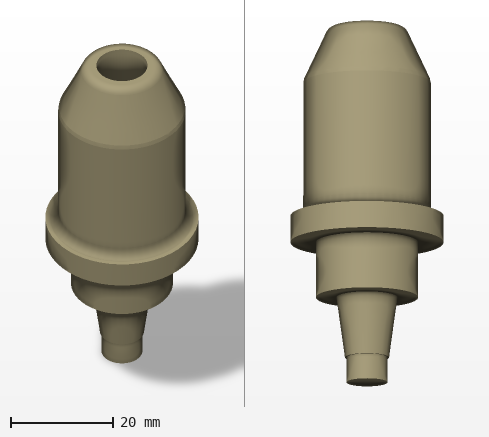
import cadquery as cq
import math

pin_top = 5.0
taper_top = 17.0
boss_top = 28.0
flange_top = 33.2
shoulder_height = 60.3
total_height = 71.0

pin_diameter = 8.0
taper_small_diameter = 8.65
taper_large_diameter = 12.0
boss_diameter = 20.0
flange_diameter = 30.0
body_diameter = 25.0
nose_diameter = 15.0
bore_diameter = 10.0
root_diameter = 28.0

bore_depth = 20.0
root_radius = 2.0
shoulder_fillet = 2.0
nose_fillet = 2.0


def arc_drop(offset):
    """Depth of the root arc below its center at a horizontal offset from it."""
    return math.sqrt(max(root_radius**2 - offset**2, 0))


def root_arc_point(radial_distance):
    """Point on the concave root arc, which leaves the body wall tangentially."""
    center_x = body_diameter / 2 + root_radius
    foot_drop = arc_drop(center_x - root_diameter / 2)
    center_z = flange_top + foot_drop
    return radial_distance, center_z - arc_drop(center_x - radial_distance)


def revolved_profile():
    """Revolve the stepped outer outline around the Z axis."""
    lower_outline = [
        (0, 0),
        (pin_diameter / 2, 0),
        (pin_diameter / 2, pin_top),
        (taper_small_diameter / 2, pin_top),
        (taper_large_diameter / 2, taper_top),
        (boss_diameter / 2, taper_top),
        (boss_diameter / 2, boss_top),
        (flange_diameter / 2, boss_top),
        (flange_diameter / 2, flange_top),
        (root_diameter / 2, flange_top),
    ]
    root_middle = root_arc_point((root_diameter + body_diameter) / 4)
    root_end = root_arc_point(body_diameter / 2)
    return (
        cq.Workplane("XZ")
        .polyline(lower_outline)
        .threePointArc(root_middle, root_end)
        .lineTo(body_diameter / 2, shoulder_height)
        .lineTo(nose_diameter / 2, total_height)
        .lineTo(0, total_height)
        .close()
        .revolve(360, (0, 0), (0, 1))
    )


def round_edge(solid, height, diameter, radius):
    """Fillet the single circular edge with the given height and diameter."""
    tolerance = 0.01
    reach = diameter / 2 + tolerance
    box = cq.selectors.BoxSelector(
        (-reach, -reach, height - tolerance),
        (reach, reach, height + tolerance),
        boundingbox=True,
    )
    return solid.edges("%CIRCLE").edges(box).fillet(radius)


def cut_bore(solid):
    """Cut the blind bore down from the nose."""
    return solid.faces(">Z").workplane().hole(bore_diameter, bore_depth)


part = revolved_profile()
part = round_edge(part, shoulder_height, body_diameter, shoulder_fillet)
part = round_edge(part, total_height, nose_diameter, nose_fillet)
result = cut_bore(part)